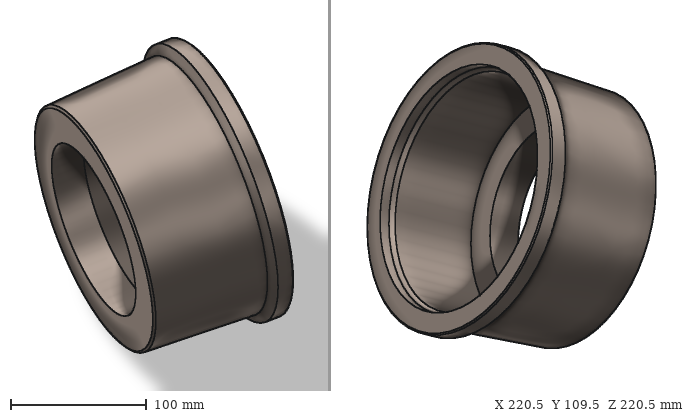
import cadquery as cq

length = 109.5
flange_thickness = 13.2
flange_cone_length = 4.9
flange_start = length - flange_thickness
body_end = flange_start - flange_cone_length
lip_depth = 26.5
cavity_end = 97.7

flange_diameter = 220.5
body_rear_diameter = 205.0
body_front_diameter = 195.8
front_chamfer_width = 2.0
front_chamfer_length = 1.5
rear_chamfer = 1.0

bore_diameter = 136.5
cavity_diameter = 182.0
seat_diameter = 187.0
mouth_diameter = 187.5
seat_cone_length = 3.7
seat_start = cavity_end + seat_cone_length


def revolved(profile):
    """Revolve (radius, axial position) points about the Y axis."""
    return cq.Workplane("XY").polyline(profile).close().revolve(360, (0, 0, 0), (0, 1, 0))


outer = revolved([
    (0, 0),
    (body_front_diameter / 2 - front_chamfer_width, 0),
    (body_front_diameter / 2, front_chamfer_length),
    (body_rear_diameter / 2, body_end),
    (flange_diameter / 2, flange_start),
    (flange_diameter / 2, length - rear_chamfer),
    (flange_diameter / 2 - rear_chamfer, length),
    (0, length),
])

inner = revolved([
    (0, 0),
    (bore_diameter / 2, 0),
    (bore_diameter / 2, lip_depth),
    (cavity_diameter / 2, lip_depth),
    (cavity_diameter / 2, cavity_end),
    (seat_diameter / 2, seat_start),
    (mouth_diameter / 2, length),
    (0, length),
])

result = outer.cut(inner)